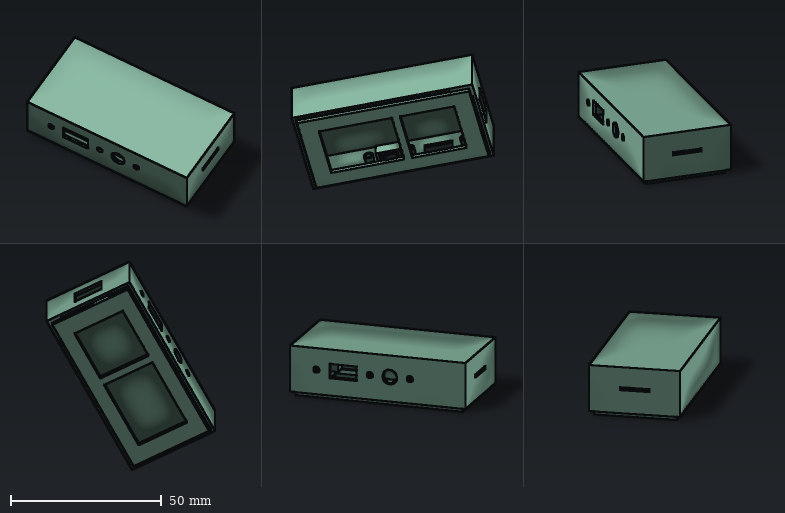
import cadquery as cq

LENGTH = 61.5
WIDTH = 31.0
HEIGHT = 17.5
WALL = 1.0
BASE_THICKNESS = 1.55
BASE_INSET = 1.4

OPENING_Z = 10.0

WINDOW_LENGTH = 9.5
WINDOW_HEIGHT = 5.0
WINDOW_X = -12.1
JACK_DIAMETER = 5.0
JACK_X = 4.25
LAMP_DIAMETER = 2.0
LAMP_XS = (-21.5, -2.75, 11.25)

END_WINDOW_WIDTH = 10.0
END_WINDOW_HEIGHT = 6.0
END_SLOT_HEIGHT = 1.0
WINDOW_TOP = OPENING_Z + WINDOW_HEIGHT / 2

POST_LENGTH = 7.0
POST_WIDTH = 4.0

BRACKET_INNER_WIDTH = 6.3
BRACKET_INNER_DEPTH = 2.9
BRACKET_HEIGHT = 4.0
BRACKET_WALL = 1.0

SLEEVE_DIAMETER = 3.0
SLEEVE_LENGTH = 2.0

BASE_OPENING_WIDTH = 18.0
BASE_OPENING_END = 23.05
BAR_X_MIN = -4.55
BAR_WIDTH = 2.75
SUPPORT_LENGTH = 6.0
SUPPORT_WIDTH = 6.0
SUPPORT_TOP = 6.9
SUPPORT_Y_MAX = -1.15

INNER_X = LENGTH / 2 - WALL
INNER_Y = WIDTH / 2 - WALL
INNER_TOP = HEIGHT - WALL


def block(x_range, y_range, z_range):
    """Box between the given limits on each axis."""
    sizes = [high - low for low, high in (x_range, y_range, z_range)]
    corner = (x_range[0], y_range[0], z_range[0])
    return cq.Workplane("XY").box(*sizes, centered=False).translate(corner)


def span(center, size):
    """Limits of a length centred on a position."""
    return (center - size / 2, center + size / 2)


def y_cylinder(x, diameter, y_start, length):
    """Cylinder at the opening height that runs toward +Y from y_start."""
    plane = cq.Workplane("XZ", origin=(x, y_start, OPENING_Z))
    return plane.circle(diameter / 2).extrude(-length)


def make_shell():
    """Box with a closed top and an open bottom."""
    outside = block(span(0, LENGTH), span(0, WIDTH), (BASE_THICKNESS, HEIGHT))
    cavity = block((-INNER_X, INNER_X), (-INNER_Y, INNER_Y), (BASE_THICKNESS, INNER_TOP))
    return outside.cut(cavity)


def cut_side_openings(body):
    """Window, round hole and lamp holes through the -Y wall."""
    wall_y = (-WIDTH / 2, -INNER_Y)
    body = body.cut(block(span(WINDOW_X, WINDOW_LENGTH), wall_y, span(OPENING_Z, WINDOW_HEIGHT)))
    body = body.cut(y_cylinder(JACK_X, JACK_DIAMETER, -WIDTH / 2, WALL))
    for x in LAMP_XS:
        body = body.cut(y_cylinder(x, LAMP_DIAMETER, -WIDTH / 2, WALL))
    return body


def cut_end_openings(body):
    """Window through the -X wall and thin slot through the +X wall."""
    across = span(0, END_WINDOW_WIDTH)
    window_z = (WINDOW_TOP - END_WINDOW_HEIGHT, WINDOW_TOP)
    body = body.cut(block((-LENGTH / 2, -INNER_X), across, window_z))
    return body.cut(block((INNER_X, LENGTH / 2), across, span(OPENING_Z, END_SLOT_HEIGHT)))


def make_post():
    """Full-height post in the -X +Y corner."""
    x_range = (-INNER_X, -INNER_X + POST_LENGTH)
    return block(x_range, (INNER_Y - POST_WIDTH, INNER_Y), (BASE_THICKNESS, INNER_TOP))


def make_bracket():
    """U-shaped wall around the back of the round hole, open above and below."""
    z_range = span(OPENING_Z, BRACKET_HEIGHT)
    back_y = -INNER_Y + BRACKET_INNER_DEPTH
    outer_width = BRACKET_INNER_WIDTH + 2 * BRACKET_WALL
    outside = block(span(JACK_X, outer_width), (-INNER_Y, back_y + BRACKET_WALL), z_range)
    return outside.cut(block(span(JACK_X, BRACKET_INNER_WIDTH), (-INNER_Y, back_y), z_range))


def make_housing():
    """Shell with its openings, corner post and bracket."""
    body = cut_end_openings(cut_side_openings(make_shell()))
    return body.union(make_post()).union(make_bracket())


def make_base():
    """Inset bottom plate with an opening on each side of a cross bar, and a support at the -X edge."""
    plate_z = (0, BASE_THICKNESS)
    half_length = LENGTH / 2 - BASE_INSET
    body = block((-half_length, half_length), span(0, WIDTH - 2 * BASE_INSET), plate_z)
    opening_xs = ((-BASE_OPENING_END, BAR_X_MIN), (BAR_X_MIN + BAR_WIDTH, BASE_OPENING_END))
    for x_range in opening_xs:
        body = body.cut(block(x_range, span(0, BASE_OPENING_WIDTH), plate_z))
    support = block(
        (-half_length, -half_length + SUPPORT_LENGTH),
        (SUPPORT_Y_MAX - SUPPORT_WIDTH, SUPPORT_Y_MAX),
        (0, SUPPORT_TOP),
    )
    return body.union(support)


def make_sleeve(x):
    """Tube against the inside of the -Y wall that continues a lamp hole."""
    outside = y_cylinder(x, SLEEVE_DIAMETER, -INNER_Y, SLEEVE_LENGTH)
    return outside.cut(y_cylinder(x, LAMP_DIAMETER, -INNER_Y, SLEEVE_LENGTH))


housing = make_housing()
base = make_base()
sleeves = [make_sleeve(x) for x in LAMP_XS]

result = cq.Compound.makeCompound([housing.val(), base.val(), *[sleeve.val() for sleeve in sleeves]])